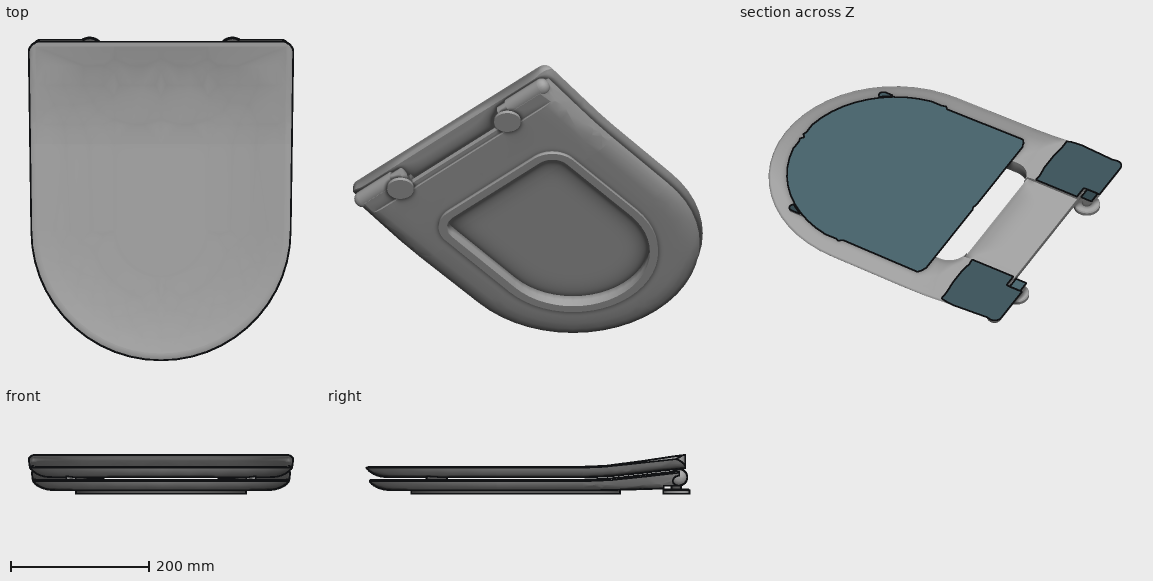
import cadquery as cq
import math


front_radius = 187.5
lid_rear_y = 273.0
lid_rear_half_width = 191.4
rear_corner_radius = 16.0
rim_width = 10.0
hull_width = 45.0
hull_knee_inset = 0.27
hull_knee_rise = 0.30
hull_edge_direction = (1, 1.5)
lid_floor_half_width = 68.0

climb_start_y = 125.0
lid_top_z = 56.35
lid_rim_z = 39.3
lid_rim_climb = lid_top_z - lid_rim_z
lid_under_z = 23.8
lid_under_climb = 13.2
lid_edge_drop = 1.5
lid_edge_drop_gain = 3.5
lid_dish_depth = 11.0
dish_fade_power = 4
rear_rim_width = 7.0
dish_end_y = lid_rear_y - rear_rim_width
climb_steps = 5

seat_inset = 4.5
seat_rim_width = 4.0
seat_top_z = 20.7
seat_top_climb = 13.2
seat_under_z = 5.0
seat_under_climb = 3.5
seat_edge_drop = 2.5
lip_half_width = 123.0
lip_rear_y = 179.0
lip_width = 12.0
lip_corner_radius = 40.0
notch_half_width = 92.0
bar_top_z = 19.0

hinge_y = 264.0
barrel_radius = 12.0
barrel_z = 24.0
barrel_inner_x = 112.0
barrel_outer_x = 184.0
barrel_end_radius = 11.0
bar_rear_y = 250.0
foot_clearance_y = 242.0
foot_clearance_z = 11.5

knuckle_length = 18.0
knuckle_radius = 9.0
foot_x = barrel_inner_x - knuckle_length / 2
foot_y = 260.0
foot_radius = 19.16
foot_height = 6.5
foot_chamfer = 1.5
post_radius = 7.0

buffer_x = 130.0
buffer_y = -86.0
buffer_length = 30.0
buffer_width = 14.0

tall = 100.0


def half_width(y):
    """Half width of the lid, widening slightly towards the hinges."""
    return front_radius + (lid_rear_half_width - front_radius) * y / lid_rear_y


def climb(y):
    """Share of the full climb reached at y: level at first, then rising to 1 at the rear edge."""
    run = max(0, (y - climb_start_y) / (lid_rear_y - climb_start_y))
    return run ** 2 * (2 - run)


def dish_depth(y):
    fade = max(0, (y - climb_start_y) / (dish_end_y - climb_start_y))
    return lid_dish_depth * (1 - min(1, fade) ** dish_fade_power)


def hull_knee(width, edge_z, under_z):
    knee_x = width - hull_knee_inset * hull_width
    knee_z = under_z + hull_knee_rise * (edge_z - under_z)
    return knee_x, knee_z


def hull_curve(sketch, width, edge_z, under_z):
    """Underside curve from the middle out to the right-hand edge."""
    return (
        sketch.lineTo(width - hull_width, under_z)
        .spline(
            [hull_knee(width, edge_z, under_z), (width, edge_z)],
            includeCurrent=True,
            tangents=[(1, 0), hull_edge_direction],
        )
    )


def rim_arc(sketch, width, edge_z, rim_z, rim):
    """Rounded edge from the widest point in to the top of the rim."""
    quarter = math.sqrt(0.5)
    middle = (width - rim * (1 - quarter), edge_z + (rim_z - edge_z) * quarter)
    return sketch.threePointArc(middle, (width - rim, rim_z))


def lid_half_section(y):
    width = half_width(y)
    depth = dish_depth(y)
    rim_z = lid_rim_z + lid_rim_climb * climb(y)
    under_z = lid_under_z + lid_under_climb * climb(y)
    edge_z = rim_z - lid_edge_drop - lid_edge_drop_gain * climb(y) ** 2
    floor_z = rim_z - depth
    sketch = cq.Workplane("XZ", origin=(0, y, 0)).moveTo(0, under_z)
    sketch = hull_curve(sketch, width, edge_z, under_z)
    sketch = rim_arc(sketch, width, edge_z, rim_z, rim_width)
    dish_run = width - rim_width - lid_floor_half_width
    return (
        sketch.spline(
            [(lid_floor_half_width, floor_z)],
            includeCurrent=True,
            tangents=[(-dish_run, -2 * depth), (-1, 0)],
        )
        .lineTo(0, floor_z)
        .close()
    )


def seat_half_section(y):
    width = half_width(y) - seat_inset
    top_z = seat_top_z + seat_top_climb * climb(y)
    under_z = seat_under_z + seat_under_climb * climb(y)
    edge_z = top_z - seat_edge_drop
    sketch = cq.Workplane("XZ", origin=(0, y, 0)).moveTo(0, under_z)
    sketch = hull_curve(sketch, width, edge_z, under_z)
    sketch = rim_arc(sketch, width, edge_z, top_z, seat_rim_width)
    return sketch.lineTo(0, top_z).close()


def loft_between(half_section, stations, ruled):
    wires = [half_section(y).wire().val() for y in stations]
    return cq.Workplane(cq.Solid.makeLoft(wires, ruled))


def bowed_body(half_section, climb_end_y, rear_edge_y):
    """Revolved round front, level middle and climbing rear, mirrored about the centre plane."""
    step = (climb_end_y - climb_start_y) / climb_steps
    climb_stations = [climb_start_y + step * i for i in range(climb_steps + 1)]
    half = half_section(0).revolve(90, (0, 0), (0, -1))
    half = half.union(loft_between(half_section, [0, climb_start_y], True))
    half = half.union(loft_between(half_section, climb_stations, False))
    if rear_edge_y > climb_end_y:
        half = half.union(loft_between(half_section, [climb_end_y, rear_edge_y], True))
    return half.union(half.mirror("YZ"))


def d_prism(half, rear_y, corner_radius, z0, z1):
    """Upright D-shaped block: round front, straight sides, rounded rear corners."""
    return (
        cq.Workplane("XY", origin=(0, 0, z0))
        .moveTo(half, 0)
        .lineTo(half, rear_y)
        .lineTo(-half, rear_y)
        .lineTo(-half, 0)
        .threePointArc((0, -half), (half, 0))
        .close()
        .extrude(z1 - z0)
        .edges("|Z and >Y")
        .fillet(corner_radius)
    )


def make_lid():
    body = bowed_body(lid_half_section, dish_end_y, lid_rear_y)
    plan = d_prism(lid_rear_half_width, lid_rear_y, rear_corner_radius, 0, tall)
    return body.intersect(plan)


def make_barrel(side):
    length = barrel_outer_x - barrel_inner_x
    barrel = (
        cq.Workplane("YZ", origin=(barrel_inner_x, 0, 0))
        .center(hinge_y, barrel_z)
        .circle(barrel_radius)
        .extrude(length)
        .faces(">X")
        .edges()
        .fillet(barrel_end_radius)
    )
    return barrel if side > 0 else barrel.mirror("YZ")


def make_foot(side):
    """Round base with a post that carries an eye on the hinge axis."""
    base = (
        cq.Workplane("XY", origin=(side * foot_x, foot_y, 0))
        .circle(foot_radius)
        .extrude(foot_height)
        .faces(">Z")
        .chamfer(foot_chamfer)
    )
    post = (
        cq.Workplane("XY", origin=(side * foot_x, foot_y, 0))
        .circle(post_radius)
        .extrude(barrel_z)
    )
    knuckle = (
        cq.Workplane("YZ", origin=(side * foot_x, 0, 0))
        .center(hinge_y, barrel_z)
        .circle(knuckle_radius)
        .extrude(knuckle_length / 2, both=True)
    )
    return base.union(post).union(knuckle)


def block(x_half, y0, y1, z0, z1):
    return (
        cq.Workplane("XY", origin=(0, (y0 + y1) / 2, z0))
        .rect(2 * x_half, y1 - y0)
        .extrude(z1 - z0)
    )


def make_seat():
    body = bowed_body(seat_half_section, hinge_y, hinge_y)
    opening_rear_y = lip_rear_y - lip_width
    body = body.cut(block(lid_rear_half_width, foot_clearance_y, lid_rear_y, 0, foot_clearance_z))
    body = body.cut(block(notch_half_width, opening_rear_y, bar_rear_y, bar_top_z, tall))
    body = body.cut(block(barrel_inner_x, bar_rear_y, lid_rear_y, 0, tall))
    for side in (-1, 1):
        body = body.union(make_barrel(side))
    lip_top_z = (seat_top_z + seat_under_z) / 2
    body = body.union(d_prism(lip_half_width, lip_rear_y, lip_corner_radius, 0, lip_top_z))
    opening = d_prism(
        lip_half_width - lip_width, opening_rear_y, lip_corner_radius - lip_width, 0, tall
    )
    return body.cut(opening)


def make_buffer(side, lid):
    """Pad standing on the seat ring, its top shaped to the underside of the lid."""
    pad = (
        cq.Workplane("XY", origin=(side * buffer_x, buffer_y, seat_top_z))
        .slot2D(buffer_length, buffer_width, 90)
        .extrude((lid_rim_z - lid_dish_depth + lid_under_z) / 2 - seat_top_z)
    )
    return pad.cut(lid)


lid = make_lid()
feet = [make_foot(side) for side in (-1, 1)]
seat = make_seat()
buffers = [make_buffer(side, lid) for side in (-1, 1)]

result = cq.Compound.makeCompound(
    [
        *lid.vals(),
        *seat.vals(),
        *[foot.val() for foot in feet],
        *[pad.val() for pad in buffers],
    ]
)